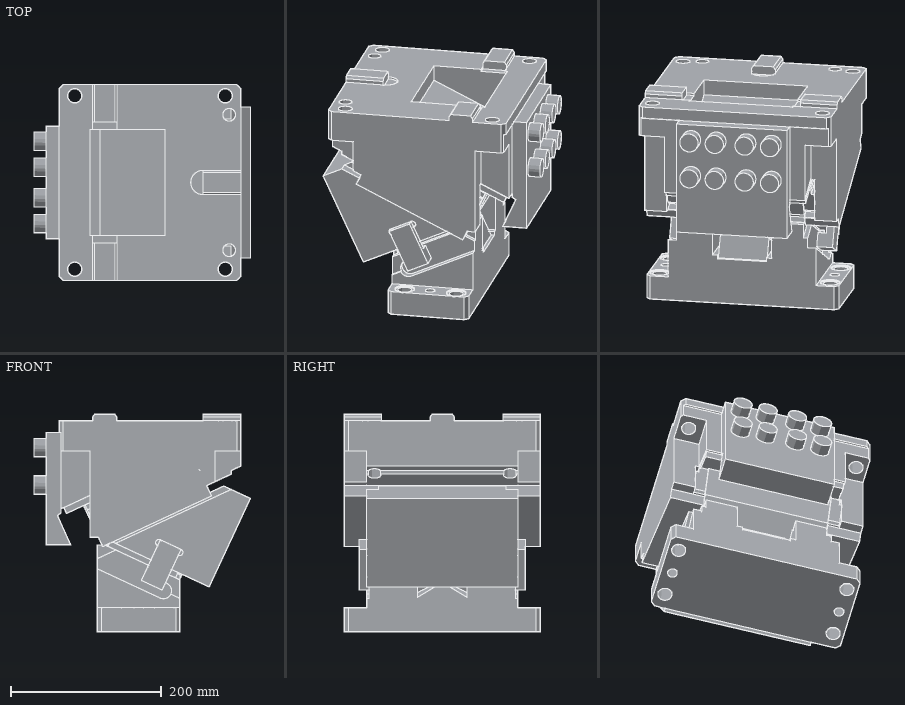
import cadquery as cq
import math


SLIDE_ANGLE = math.radians(25)
COS = math.cos(SLIDE_ANGLE)
SIN = math.sin(SLIDE_ANGLE)
RAIL_CORNER_X = 7.2
RAIL_CORNER_Z = 113.0

TOTAL_HEIGHT = 289.0
HALF_WIDTH = 130.0
CORNER_CHAMFER = 5.5
GUIDE_HALF = 100.3
NECK_HALF = 84.5
RAIL_END = 159.5
RAIL_THICKNESS = 15.0
STRIP_BOTTOM = 60.0
RUN_PLANE = 116.8
PAD_THICKNESS = 7.8
REACH = 346.8

PLATE_LEFT = -50.5
PLATE_RIGHT = 190.7
PLATE_TOP = 280.3
PLATE_BOTTOM = 240.0
RELIEF_DEPTH = 2.5
RELIEF_TOP = 264.7
CORE_HALF = 95.5
WALL_LEFT = -9.8
WALL_RIGHT = 156.0
WALL_FOOT = 125.5
CHANNEL_TOP = 68.8
STRIP_START = -24.9
STRIP_HALF = 94.5
TAIL_STEP_X = 178.0
TAIL_STEP_RISE = 4.3

FACE_LEFT = -67.5
FACE_HALF = 74.9
FACE_BOTTOM = 115.3
FACE_TOE_X = -35.0
FACE_NOSE_X = -52.5
FACE_NOSE_Z = 154.5
FACE_SHOULDER_Z = 157.5

STUD_LEFT = -83.8
STUD_RADIUS = 12.5
STUD_Y = [-54.5, -20.2, 20.2, 54.5]
STUD_Z = [194.8, 244.5]

POCKET_LEFT = -9.5
POCKET_FLAT = 13.5
POCKET_RIGHT = 90.2
POCKET_HALF = 70.2
POCKET_RIGHT_DEPTH = 20.5

KEY_LEFT = -6.0
KEY_WIDTH = 32.0
KEY_INNER_Y = 80.3
KEY_SEAT = 3.0
KEY_CHAMFER_WIDTH = 2.5
KEY_CHAMFER_HEIGHT = 3.8
REAR_KEY_LEFT = 140.2

BOLT_RADIUS = 9.2
BOLT_X = [-29.8, 170.0]
BOLT_Y = 115.0
ACCESS_RADIUS = 8.5
ACCESS_X = 175.0
ACCESS_Y = 90.0

SLIDER_END = 109.5
SLIDER_TOP = 246.5
WING_START = 2.3
WING_TOP = 53.0
CAP_HALF = 96.5
WING_BEVEL = 122.8
NECK_TOP = 5.2
FLANGE_TOP = -3.2

BRACKET_START = 24.3
BRACKET_END = 54.5
BRACKET_BOTTOM = 86.7
BRACKET_TOP = 146.2
BRACKET_INNER = 95.5
BRACKET_OUTER = 110.5
HOOK_TOP = 105.8
RELIEF_RADIUS = 4.3

KEEL_END = 70.0
KEEL_CLEARANCE = 2.3
KEEL_NOTCH_DEPTH = 8.0

BASE_LENGTH = 109.8
FOOT_HEIGHT = 32.0
BASE_TOP = 115.5
CHEEK_HALF = 83.0
GROOVE_WALL = 89.0
BEVEL_LEFT_Z = 97.0
SHOULDER_TOP = 86.7
LEDGE_HALF = 97.0
GROOVE_END = 56.5
GROOVE_RADIUS = 10.7
PAD_START = -35.3
PAD_END = 64.0
STOP_TOP = 115.0
PAD_HALF = 81.8

SLOT_HALF = 40.2
SLOT_FLOOR = 66.2
RIDGE_START = -22.0
RIDGE_HALF = 33.0
RIDGE_FLAT_HALF = 6.0
RIDGE_EAVES = 88.0
RIDGE_TOP = 102.5
RIDGE_FOOT_Z = 61.3

FOOT_BOLT_X = [19.0, 89.0]
FOOT_BOLT_Y = 115.5
FOOT_BOLT_RADIUS = 9.2
FOOT_BORE_RADIUS = 13.0
FOOT_BORE_DEPTH = 1.5
DOWEL_X = 55.0
DOWEL_Y = 114.5
DOWEL_RADIUS = 6.5


def rising(u, v):
    """Point u along the rising slide and v square above it, from the rail corner."""
    return (RAIL_CORNER_X + u * COS - v * SIN, RAIL_CORNER_Z + u * SIN + v * COS)


def falling(p, q):
    """Point p along the falling slide and q square above it, from the origin."""
    return (p * COS + q * SIN, -p * SIN + q * COS)


def rising_z(x, v):
    """Height at x of the rising plane with offset v."""
    return RAIL_CORNER_Z + ((x - RAIL_CORNER_X) * SIN + v) / COS


def falling_z(x, q):
    """Height at x of the falling plane with offset q."""
    return (q - x * SIN) / COS


def rectangle(frame, a0, a1, b0, b1):
    return [frame(a0, b0), frame(a1, b0), frame(a1, b1), frame(a0, b1)]


def prism(points, y0, y1):
    """XZ outline extruded from y0 to y1."""
    return cq.Workplane("XZ", origin=(0, y1, 0)).polyline(points).close().extrude(y1 - y0)


def centred(points, half):
    return prism(points, -half, half)


def both_sides(points, inner, outer):
    return prism(points, inner, outer).union(prism(points, -outer, -inner))


def box(x0, x1, y0, y1, z0, z1):
    return cq.Workplane("XY").box(x1 - x0, y1 - y0, z1 - z0, centered=False).translate((x0, y0, z0))


def cylinders(places, radius, z0, z1):
    return cq.Workplane("XY", origin=(0, 0, z0)).pushPoints(places).circle(radius).extrude(z1 - z0)


def slide_disc(p, q, radius, inner, outer):
    """Discs across both sides, centred on a point of the falling slide."""
    x, z = falling(p, q)
    disc = cq.Workplane("XZ", origin=(x, outer, z)).circle(radius).extrude(outer - inner)
    return disc.union(disc.mirror("XZ"))


def holder_plate():
    plate = box(PLATE_LEFT, PLATE_RIGHT, -HALF_WIDTH, HALF_WIDTH, PLATE_BOTTOM, PLATE_TOP)
    plate = plate.edges("|Z").chamfer(CORNER_CHAMFER)
    relief = box(
        PLATE_LEFT, PLATE_LEFT + RELIEF_DEPTH, -HALF_WIDTH, HALF_WIDTH, PLATE_BOTTOM, RELIEF_TOP
    )
    return plate.cut(relief)


def holder_walls():
    outline = [
        (WALL_LEFT, PLATE_BOTTOM),
        (WALL_LEFT, WALL_FOOT),
        (RAIL_CORNER_X - (WALL_FOOT - RAIL_CORNER_Z) * SIN / COS, WALL_FOOT),
        rising(0, 0),
        rising(RAIL_END, 0),
        rising(RAIL_END, RAIL_THICKNESS),
        (WALL_RIGHT, rising_z(WALL_RIGHT, RAIL_THICKNESS)),
        (WALL_RIGHT, PLATE_BOTTOM),
    ]
    channel = rectangle(rising, -REACH, RAIL_END, RAIL_THICKNESS, CHANNEL_TOP)
    rail_gap = rectangle(rising, -REACH, RAIL_END, -RAIL_THICKNESS, RAIL_THICKNESS)
    walls = centred(outline, HALF_WIDTH)
    return walls.cut(centred(channel, GUIDE_HALF)).cut(centred(rail_gap, NECK_HALF))


def holder_core():
    left = PLATE_LEFT + RELIEF_DEPTH
    tail_top = RAIL_THICKNESS + TAIL_STEP_RISE
    outline = [
        (left, RELIEF_TOP),
        (left, rising_z(left, CHANNEL_TOP)),
        rising(RAIL_END, CHANNEL_TOP),
        rising(RAIL_END, RAIL_THICKNESS),
        (TAIL_STEP_X, rising_z(TAIL_STEP_X, RAIL_THICKNESS)),
        (TAIL_STEP_X, rising_z(TAIL_STEP_X, tail_top)),
        (PLATE_RIGHT, rising_z(PLATE_RIGHT, tail_top)),
        (PLATE_RIGHT, RELIEF_TOP),
    ]
    strip = rectangle(rising, STRIP_START, RAIL_END, STRIP_BOTTOM, CHANNEL_TOP)
    core = centred(outline, CORE_HALF)
    tail_space = box(WALL_RIGHT, PLATE_RIGHT, -GUIDE_HALF, GUIDE_HALF, 0, RELIEF_TOP)
    tail = centred(outline, GUIDE_HALF).intersect(tail_space)
    return core.union(tail).union(centred(strip, STRIP_HALF))


def front_pad():
    right = PLATE_LEFT + RELIEF_DEPTH
    outline = [
        (FACE_LEFT, RELIEF_TOP),
        (FACE_LEFT, FACE_BOTTOM),
        (FACE_TOE_X, FACE_BOTTOM),
        (FACE_NOSE_X, FACE_NOSE_Z),
        (right, FACE_SHOULDER_Z),
        (right, RELIEF_TOP),
    ]
    places = [(y, z) for y in STUD_Y for z in STUD_Z]
    studs = cq.Workplane("YZ", origin=(STUD_LEFT, 0, 0)).pushPoints(places)
    studs = studs.circle(STUD_RADIUS).extrude(FACE_LEFT - STUD_LEFT)
    return centred(outline, FACE_HALF).union(studs)


def pocket():
    """Pocket whose floor rises parallel to the guide channel."""
    slope_left = POCKET_LEFT + POCKET_FLAT
    floor_right = PLATE_TOP - POCKET_RIGHT_DEPTH
    floor_left = floor_right - (POCKET_RIGHT - slope_left) * SIN / COS
    outline = [
        (POCKET_LEFT, PLATE_TOP),
        (POCKET_LEFT, floor_left),
        (slope_left, floor_left),
        (POCKET_RIGHT, floor_right),
        (POCKET_RIGHT, PLATE_TOP),
    ]
    return centred(outline, POCKET_HALF)


def key_bar(length):
    """Key along Y from the origin, seated in its groove, with bevelled long edges."""
    half = KEY_WIDTH / 2
    bevel_z = TOTAL_HEIGHT - KEY_CHAMFER_HEIGHT
    outline = [
        (-half, PLATE_TOP - KEY_SEAT),
        (half, PLATE_TOP - KEY_SEAT),
        (half, bevel_z),
        (half - KEY_CHAMFER_WIDTH, TOTAL_HEIGHT),
        (KEY_CHAMFER_WIDTH - half, TOTAL_HEIGHT),
        (-half, bevel_z),
    ]
    return prism(outline, 0, length)


def make_holder():
    holder = holder_plate().union(holder_walls()).union(holder_core()).union(front_pad())
    holder = holder.cut(pocket())

    seat_bottom = PLATE_TOP - KEY_SEAT
    front_seat = box(
        KEY_LEFT, KEY_LEFT + KEY_WIDTH, -HALF_WIDTH, HALF_WIDTH, seat_bottom, PLATE_TOP
    )
    rear_seat = box(REAR_KEY_LEFT, PLATE_RIGHT, -KEY_WIDTH / 2, KEY_WIDTH / 2, seat_bottom, PLATE_TOP)
    rear_round = cylinders([(REAR_KEY_LEFT, 0)], KEY_WIDTH / 2, seat_bottom, PLATE_TOP)
    holder = holder.cut(front_seat).cut(rear_seat).cut(rear_round)

    front_key = key_bar(HALF_WIDTH - KEY_INNER_Y).translate((KEY_LEFT + KEY_WIDTH / 2, KEY_INNER_Y, 0))
    rear_key = key_bar(PLATE_RIGHT - REAR_KEY_LEFT).rotate((0, 0, 0), (0, 0, 1), -90)
    holder = holder.union(front_key).union(front_key.mirror("XZ"))
    holder = holder.union(rear_key.translate((REAR_KEY_LEFT, 0, 0)))

    bolts = [(x, side * BOLT_Y) for x in BOLT_X for side in (-1, 1)]
    access = [(ACCESS_X, side * ACCESS_Y) for side in (-1, 1)]
    holder = holder.cut(cylinders(bolts, BOLT_RADIUS, PLATE_BOTTOM, PLATE_TOP))
    return holder.cut(cylinders(access, ACCESS_RADIUS, 0, PLATE_TOP))


def ridge_gable(lift=0):
    """Roof-shaped bar with a flat crest along the falling slide, raised by lift."""
    plane = cq.Plane(origin=(0, 0, 0), xDir=(0, 1, 0), normal=(COS, 0, -SIN))
    outline = [
        (-RIDGE_HALF, 0),
        (-RIDGE_HALF, RIDGE_EAVES + lift),
        (-RIDGE_FLAT_HALF, RIDGE_TOP + lift),
        (RIDGE_FLAT_HALF, RIDGE_TOP + lift),
        (RIDGE_HALF, RIDGE_EAVES + lift),
        (RIDGE_HALF, 0),
    ]
    bar = cq.Workplane(plane).workplane(offset=RIDGE_START)
    return bar.polyline(outline).close().extrude(REACH)


def slider_keel():
    """Bar that straddles the base ridge with clearance."""
    bar = centred(rectangle(falling, RIDGE_START, KEEL_END, RIDGE_EAVES, RUN_PLANE), RIDGE_HALF)
    notch_top = RIDGE_TOP + KEEL_NOTCH_DEPTH
    notch = rectangle(falling, RIDGE_START, KEEL_END, RIDGE_EAVES, notch_top)
    return bar.cut(ridge_gable(KEEL_CLEARANCE)).cut(centred(notch, RIDGE_FLAT_HALF))


def slider_bracket():
    span = (BRACKET_START, BRACKET_END)
    plate = rectangle(falling, *span, BRACKET_BOTTOM, BRACKET_TOP)
    hook = rectangle(falling, *span, BRACKET_BOTTOM, HOOK_TOP)
    return both_sides(plate, GUIDE_HALF, BRACKET_OUTER).union(both_sides(hook, GROOVE_WALL, GUIDE_HALF))


def make_slider():
    wing_outline = rectangle(rising, WING_START, RAIL_END, RAIL_THICKNESS, WING_TOP)
    above_bevel = rectangle(falling, -REACH, REACH, WING_BEVEL, REACH)
    wings = centred(wing_outline, GUIDE_HALF).intersect(centred(above_bevel, GUIDE_HALF))
    cap = rectangle(rising, WING_START, RAIL_END, WING_TOP, STRIP_BOTTOM)
    web = rectangle(rising, 0, RAIL_END, FLANGE_TOP, STRIP_BOTTOM)
    neck = rectangle(rising, 0, REACH, -REACH, NECK_TOP)
    flange = rectangle(rising, 0, REACH, -REACH, FLANGE_TOP)
    body = wings.union(centred(cap, CAP_HALF)).union(centred(web, NECK_HALF))
    body = body.union(centred(neck, NECK_HALF)).union(centred(flange, GUIDE_HALF))
    envelope = rectangle(falling, -REACH, SLIDER_END, RUN_PLANE, SLIDER_TOP)
    body = body.intersect(centred(envelope, GUIDE_HALF))

    for p in (BRACKET_START, BRACKET_END):
        relief = slide_disc(p, BRACKET_TOP - RELIEF_RADIUS, RELIEF_RADIUS, BRACKET_INNER, GUIDE_HALF)
        body = body.cut(relief)
    return body.union(slider_keel()).union(slider_bracket())


def base_layer(half, limit):
    """Full-length block below the falling plane with offset limit."""
    right_z = falling_z(BASE_LENGTH, limit)
    flat_end = (limit - BASE_TOP * COS) / SIN
    if flat_end > 0:
        left = [(0, BASE_TOP), (flat_end, BASE_TOP)]
    else:
        left = [(0, falling_z(0, limit))]
    return centred([(0, 0), *left, (BASE_LENGTH, right_z), (BASE_LENGTH, 0)], half)


def hook_groove():
    floor = SHOULDER_TOP - GROOVE_RADIUS
    run = rectangle(falling, -REACH, GROOVE_END, floor, SHOULDER_TOP + GROOVE_RADIUS)
    opening = rectangle(falling, -REACH, BRACKET_END, floor, RUN_PLANE)
    groove = both_sides(run, GROOVE_WALL, GUIDE_HALF).union(both_sides(opening, GROOVE_WALL, GUIDE_HALF))
    return groove.union(slide_disc(GROOVE_END, SHOULDER_TOP, GROOVE_RADIUS, GROOVE_WALL, GUIDE_HALF))


def base_foot():
    foot = box(0, BASE_LENGTH, -HALF_WIDTH, HALF_WIDTH, 0, FOOT_HEIGHT)
    foot = foot.edges("|Z").chamfer(CORNER_CHAMFER)
    bolts = [(x, side * FOOT_BOLT_Y) for x in FOOT_BOLT_X for side in (-1, 1)]
    dowels = [(DOWEL_X, side * DOWEL_Y) for side in (-1, 1)]
    foot = foot.cut(cylinders(bolts, FOOT_BOLT_RADIUS, 0, FOOT_HEIGHT))
    foot = foot.cut(cylinders(bolts, FOOT_BORE_RADIUS, FOOT_HEIGHT - FOOT_BORE_DEPTH, FOOT_HEIGHT))
    return foot.cut(cylinders(dowels, DOWEL_RADIUS, 0, FOOT_HEIGHT))


def make_base():
    run_top = RUN_PLANE - PAD_THICKNESS
    body = base_layer(GUIDE_HALF, SHOULDER_TOP).union(base_layer(LEDGE_HALF, run_top))
    body = body.cut(hook_groove())
    bevel = [
        (0, BEVEL_LEFT_Z),
        (BASE_LENGTH, BEVEL_LEFT_Z + BASE_LENGTH * SIN / COS),
        (0, REACH),
    ]
    body = body.cut(both_sides(bevel, CHEEK_HALF, GUIDE_HALF))
    pads = rectangle(falling, PAD_START, PAD_END, run_top, RUN_PLANE)
    stop_space = rectangle(falling, PAD_END, REACH, 0, STOP_TOP)
    stop = base_layer(GROOVE_WALL, STOP_TOP).intersect(centred(stop_space, GROOVE_WALL))
    body = body.union(centred(pads, PAD_HALF)).union(stop)

    slot = box(0, BASE_LENGTH, -SLOT_HALF, SLOT_HALF, SLOT_FLOOR, RUN_PLANE + PAD_THICKNESS)
    foot_relief = box(0, BASE_LENGTH, -RIDGE_HALF, RIDGE_HALF, RIDGE_FOOT_Z, SLOT_FLOOR)
    keel_way = centred(rectangle(falling, RIDGE_START, REACH, RIDGE_EAVES, RUN_PLANE), RIDGE_HALF)
    inside = box(0, BASE_LENGTH, -RIDGE_HALF, RIDGE_HALF, FOOT_HEIGHT, BASE_TOP)
    ridge = ridge_gable().intersect(inside)
    return body.cut(slot).cut(foot_relief).cut(keel_way).union(ridge).union(base_foot())


holder = make_holder()
slider = make_slider()
base = make_base()

result = cq.Compound.makeCompound([holder.solids().val(), slider.solids().val(), base.solids().val()])